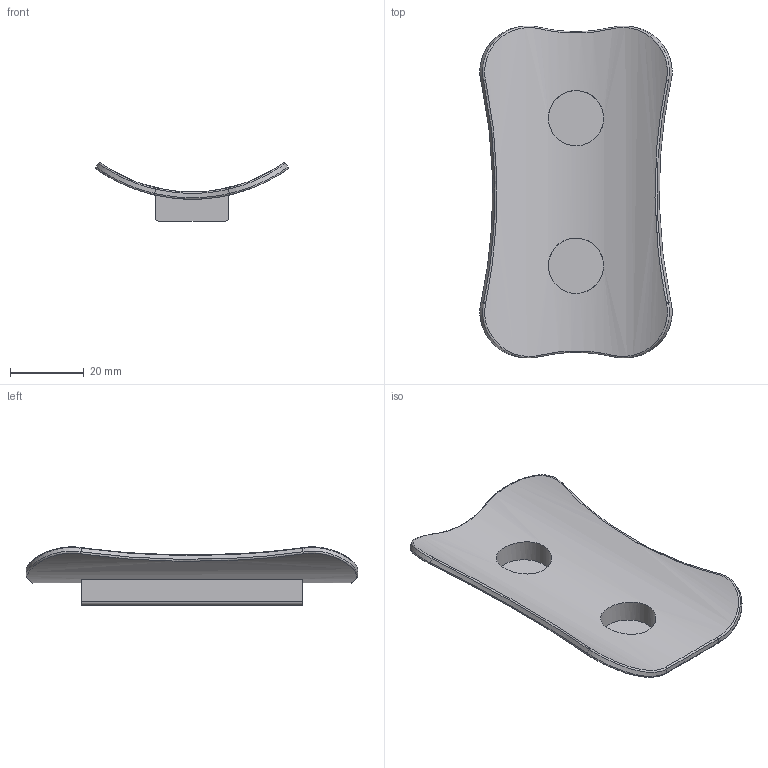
import cadquery as cq
import math

OUTER_RADIUS = 45.2
THICKNESS = 2.0
INNER_RADIUS = OUTER_RADIUS - THICKNESS
EDGE_FILLET = 0.4
PLATE_BOTTOM = 5.92

HALF_LENGTH = 45.0
CORNER_HALF_WIDTH = 25.08
CORNER_RADIUS = 12.4
WAIST_HALF_WIDTH = 21.75
END_HALF_LENGTH = 43.5

BLOCK_WIDTH = 20.0
BLOCK_LENGTH = 60.0
BLOCK_EMBED = 1.5
BLOCK_FILLET = 1.0

POCKET_DIAMETER = 15.0
POCKET_SPACING = 40.0
POCKET_FLOOR = 2.35

AXIS_HEIGHT = PLATE_BOTTOM + OUTER_RADIUS
BLOCK_HEIGHT = PLATE_BOTTOM + BLOCK_EMBED
CORNER_X = CORNER_HALF_WIDTH - CORNER_RADIUS
CORNER_Y = HALF_LENGTH - CORNER_RADIUS


def hollow_radius(low_point, corner_along, corner_across):
    """Radius of the concave arc through the point on the symmetry line, tangent to both corners."""
    gap = low_point - corner_along
    return (corner_across**2 + gap**2 - CORNER_RADIUS**2) / (2 * (CORNER_RADIUS - gap))


def plan_outline():
    """Closed outline: four round corners joined by tangent concave arcs."""
    side_radius = hollow_radius(WAIST_HALF_WIDTH, CORNER_X, CORNER_Y)
    end_radius = hollow_radius(END_HALF_LENGTH, CORNER_Y, CORNER_X)
    side_share = CORNER_RADIUS / (CORNER_RADIUS + side_radius)
    end_share = CORNER_RADIUS / (CORNER_RADIUS + end_radius)

    side_x = CORNER_X + (WAIST_HALF_WIDTH + side_radius - CORNER_X) * side_share
    side_y = CORNER_Y * (1 - side_share)
    end_x = CORNER_X * (1 - end_share)
    end_y = CORNER_Y + (END_HALF_LENGTH + end_radius - CORNER_Y) * end_share
    diagonal = CORNER_RADIUS * math.sqrt(0.5)
    tip_x = CORNER_X + diagonal
    tip_y = CORNER_Y + diagonal

    return (
        cq.Workplane("XY")
        .moveTo(side_x, -side_y)
        .threePointArc((WAIST_HALF_WIDTH, 0), (side_x, side_y))
        .threePointArc((tip_x, tip_y), (end_x, end_y))
        .threePointArc((0, END_HALF_LENGTH), (-end_x, end_y))
        .threePointArc((-tip_x, tip_y), (-side_x, side_y))
        .threePointArc((-WAIST_HALF_WIDTH, 0), (-side_x, -side_y))
        .threePointArc((-tip_x, -tip_y), (-end_x, -end_y))
        .threePointArc((0, -END_HALF_LENGTH), (end_x, -end_y))
        .threePointArc((tip_x, -tip_y), (side_x, -side_y))
        .close()
    )


def cylinder(radius):
    """Long cylinder about the bending axis of the plate."""
    return (
        cq.Workplane("XZ")
        .center(0, AXIS_HEIGHT)
        .circle(radius)
        .extrude(2 * HALF_LENGTH, both=True)
    )


def curved_plate():
    """Outline laid on the inner cylinder, thickened radially outwards, with both rims rounded."""
    bowl = plan_outline().extrude(AXIS_HEIGHT).intersect(cylinder(INNER_RADIUS))
    inner_face = bowl.faces("<Z").val()
    plate = cq.Workplane(inner_face.thicken(THICKNESS))
    outer_rim = plate.faces(cq.selectors.AreaNthSelector(-1)).edges()
    inner_rim = plate.faces(cq.selectors.AreaNthSelector(-2)).edges()
    return outer_rim.add(inner_rim).fillet(EDGE_FILLET)


def block():
    """Bar with rounded lower long edges, its flat top buried in the plate wall."""
    return (
        cq.Workplane("XY")
        .box(BLOCK_WIDTH, BLOCK_LENGTH, BLOCK_HEIGHT, centered=(True, True, False))
        .edges("|Y and <Z")
        .fillet(BLOCK_FILLET)
    )


def pockets():
    """Two round cutters standing on the pocket floors."""
    return (
        cq.Workplane("XY")
        .workplane(offset=POCKET_FLOOR)
        .rarray(1, POCKET_SPACING, 1, 2)
        .circle(POCKET_DIAMETER / 2)
        .extrude(AXIS_HEIGHT)
    )


result = curved_plate().union(block()).cut(pockets())